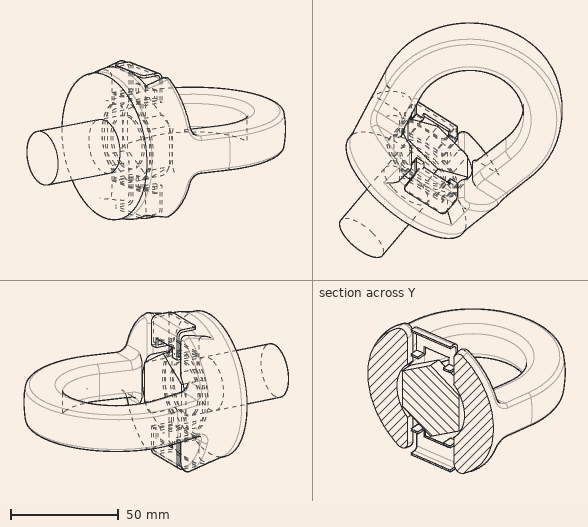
import cadquery as cq
import math


seat_radius = 69.0 / 2
seat_band_height = 3.0
base_height = 24.4
ring_center_y = 50.0
ring_outer_radius = 43.0
ring_inner_radius = 25.0
ring_thickness = 18.0
opening_leg_angle = 11.8
flare_radius = 4.0
outer_edge_radius = 2.0
inner_edge_radius = 3.5
opening_overcut = 8.0

stud_diameter = 25.4
stud_length = 35.0
hex_across_flats = 34.0
hex_top_y = 25.0

notch_width = 27.4
notch_floor_y = 13.7
notch_edge_radius = 3.8
pocket_radius = 20.0

sheet = 1.2
clip_width = 23.4
clip_outer_z = 34.5
clip_bend_radius = 3.0
tab_bottom_y = 13.6
tab_corner_radius = 2.0
clip_leg_outer_z = 21.2
clip_window_width = 15.0
clip_window_outer_z = 24.8
hub_radius = 19.8

ring_top_y = ring_center_y + ring_outer_radius
half_ring = ring_thickness / 2
hub_floor_y = notch_floor_y - sheet
reach = 2 * ring_outer_radius


def tangent_cone_angle():
    """Half angle of the cone from the seat band that touches the ring sphere."""
    rise = ring_center_y - seat_band_height
    distance = math.hypot(seat_radius, rise)
    return math.atan2(rise, seat_radius) - math.acos(ring_outer_radius / distance)


def centered_box(x_size, z_size, bottom_y, top_y):
    """Box centred on the Y axis between two heights."""
    return (
        cq.Workplane("XY")
        .box(x_size, top_y - bottom_y, z_size)
        .translate((0, (bottom_y + top_y) / 2, 0))
    )


def y_cylinder(radius, bottom_y, top_y):
    """Cylinder about the Y axis between two heights."""
    return cq.Workplane("XZ", origin=(0, bottom_y, 0)).circle(radius).extrude(bottom_y - top_y)


def make_envelope():
    """Seat band, cone and sphere turned about Y."""
    angle = tangent_cone_angle()
    middle = (math.pi / 2 - angle) / 2

    def on_sphere(elevation):
        return (
            ring_outer_radius * math.cos(elevation),
            ring_center_y + ring_outer_radius * math.sin(elevation),
        )

    return (
        cq.Workplane("XY")
        .moveTo(0, 0)
        .lineTo(seat_radius, 0)
        .lineTo(seat_radius, seat_band_height)
        .lineTo(*on_sphere(-angle))
        .threePointArc(on_sphere(middle), (0, ring_top_y))
        .close()
        .revolve(360, (0, 0, 0), (0, 1, 0))
    )


def make_side_profile():
    """Thick base and thin ring joined by concave flares, extruded along X."""
    base_block = centered_box(2 * reach, 2 * reach, 0, base_height)
    ring_block = centered_box(2 * reach, ring_thickness, 0, ring_top_y)
    corner_edges = cq.selectors.BoxSelector(
        (-1, base_height - 1, -half_ring - 1), (1, base_height + 1, half_ring + 1)
    )
    return base_block.union(ring_block).edges("|X").edges(corner_edges).fillet(flare_radius)


def make_opening(bottom_y):
    """Round ring opening whose legs close in tangentially down to bottom_y."""
    angle = math.radians(opening_leg_angle)
    tangent_x = ring_inner_radius * math.cos(angle)
    tangent_y = ring_center_y - ring_inner_radius * math.sin(angle)
    bottom_x = tangent_x - (tangent_y - bottom_y) * math.tan(angle)
    return (
        cq.Workplane("XY")
        .moveTo(-bottom_x, bottom_y)
        .lineTo(bottom_x, bottom_y)
        .lineTo(tangent_x, tangent_y)
        .threePointArc((0, ring_center_y + ring_inner_radius), (-tangent_x, tangent_y))
        .close()
        .extrude(reach, both=True)
    )


def ring_arc(radius):
    """Selects the two arcs of about this radius that bound the flat ring faces."""
    leg_angle = math.radians(opening_leg_angle)
    arc_center_y = ring_center_y + radius * math.cos(leg_angle) / (math.pi / 2 + leg_angle)
    margin = 2.0
    return cq.selectors.BoxSelector(
        (-margin, arc_center_y - margin, -half_ring - margin),
        (margin, arc_center_y + margin, half_ring + margin),
    )


def make_ring_on_base():
    """Ring, flares and base with the ring opening rounded."""
    envelope = make_envelope()
    blank = envelope.intersect(make_side_profile())

    opened = blank.cut(make_opening(base_height - opening_overcut))
    opened = opened.edges(ring_arc(ring_inner_radius)).fillet(inner_edge_radius)
    base = envelope.intersect(centered_box(2 * reach, 2 * reach, 0, base_height))
    return opened.union(base).clean()


def cut_notches(solid_eye):
    """Slot along Z through the rim, with rounded mouths that are mitred at the floor corners."""
    notched = solid_eye.cut(centered_box(notch_width, 2 * reach, notch_floor_y, hex_top_y))
    mouth_edges = cq.selectors.BoxSelector(
        (-notch_width, notch_floor_y - 1, pocket_radius),
        (notch_width, base_height - 1, reach),
    )
    notched = notched.edges(mouth_edges).fillet(notch_edge_radius)

    quarter_space = cq.Workplane("XY").box(reach, reach, reach, centered=False)
    quarter = solid_eye.cut(notched).intersect(quarter_space)
    half = quarter.union(quarter.mirror("YZ"))
    return solid_eye.cut(half.union(half.mirror("XY")))


def round_outer_edges(eye):
    """Rounds the ring outline, which runs on down the flares and along the base rim."""
    return eye.edges(ring_arc(ring_outer_radius)).fillet(outer_edge_radius)


def cut_bolt_seat(eye):
    """Pocket for the bolt head and clip hub, slots for the clip legs, and the stud hole."""
    return (
        eye.cut(y_cylinder(pocket_radius, hub_floor_y, hex_top_y))
        .cut(centered_box(clip_width, 2 * clip_leg_outer_z, hub_floor_y, notch_floor_y))
        .cut(y_cylinder(stud_diameter / 2, 0, hub_floor_y))
    )


def make_bolt():
    """Stud with a hexagonal head, two corners pointing along Z."""
    hex_corner_diameter = hex_across_flats / math.cos(math.pi / 6)
    head = (
        cq.Workplane("XZ", origin=(0, notch_floor_y, 0))
        .transformed(rotate=(0, 0, 90))
        .polygon(6, hex_corner_diameter)
        .extrude(notch_floor_y - hex_top_y)
    )
    return head.union(y_cylinder(stud_diameter / 2, -stud_length, notch_floor_y))


def make_clip():
    """Sheet hub under the bolt head with legs that rise, reach out over the rim and turn down."""
    arch = centered_box(clip_width, 2 * clip_outer_z, hub_floor_y, base_height)
    arch = arch.edges("|X and >Y").fillet(clip_bend_radius)
    inside = centered_box(clip_width, 2 * (clip_outer_z - sheet), hub_floor_y, base_height - sheet)
    inside = inside.edges("|X and >Y").fillet(clip_bend_radius - sheet)
    below_tabs = centered_box(clip_width, 2 * clip_outer_z, hub_floor_y, tab_bottom_y)
    arch = arch.cut(inside).cut(below_tabs).edges("|Z and <Y").fillet(tab_corner_radius)

    legs = centered_box(clip_width, 2 * clip_leg_outer_z, hub_floor_y, base_height)
    head_space = centered_box(clip_width, 2 * (clip_leg_outer_z - sheet), notch_floor_y, base_height)
    window = centered_box(clip_window_width, 2 * clip_window_outer_z, notch_floor_y, base_height)

    hub = y_cylinder(hub_radius, hub_floor_y, notch_floor_y)
    stud_hole = y_cylinder(stud_diameter / 2, hub_floor_y, notch_floor_y)
    return arch.union(legs).cut(head_space).cut(window).union(hub).cut(stud_hole)


eye = cut_bolt_seat(round_outer_edges(cut_notches(make_ring_on_base())))
bolt = make_bolt()
clip = make_clip()
result = cq.Compound.makeCompound([eye.val(), bolt.val(), clip.val()])